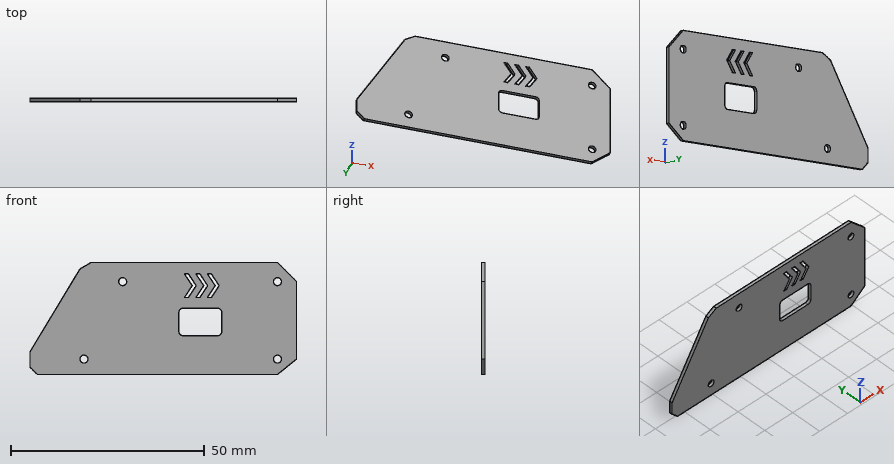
import cadquery as cq

length = 69.0
height = 29.0
thickness = 1.0

right_cut = 5.0
lower_right_rise = 4.0
lower_left_cut = 1.9
left_edge_top = 5.85
slope_top_x = 13.0
slope_top_z = 27.3
top_edge_start = 15.8

hole_diameter = 2.0
right_hole_x = length - right_cut
upper_hole_z = height - right_cut
lower_hole_z = lower_right_rise
upper_hole_spacing = 40.0
lower_hole_spacing = 50.0

window_width = 11.05
window_height = 7.05
window_center_x = 44.1
window_center_z = 13.6
window_radius = 1.05

chevron_count = 3
chevron_pitch = 3.0
chevron_start_x = 40.0
chevron_center_z = 23.0
chevron_height = 6.1
chevron_reach = 2.0
chevron_width = 1.0


def front_sketch():
    """Start a sketch on the front face, whose normal is -Y."""
    return cq.Workplane("XZ")


def make_plate():
    outline = [
        (lower_left_cut, 0),
        (length - right_cut, 0),
        (length, lower_right_rise),
        (length, height - right_cut),
        (length - right_cut, height),
        (top_edge_start, height),
        (slope_top_x, slope_top_z),
        (0, left_edge_top),
        (0, lower_left_cut),
    ]
    return front_sketch().polyline(outline).close().extrude(-thickness)


def make_holes():
    centers = [
        (right_hole_x, lower_hole_z),
        (right_hole_x, upper_hole_z),
        (right_hole_x - upper_hole_spacing, upper_hole_z),
        (right_hole_x - lower_hole_spacing, lower_hole_z),
    ]
    return front_sketch().pushPoints(centers).circle(hole_diameter / 2).extrude(-thickness)


def make_window():
    return (
        front_sketch()
        .center(window_center_x, window_center_z)
        .rect(window_width, window_height)
        .extrude(-thickness)
        .edges("|Y")
        .fillet(window_radius)
    )


def make_chevron(left_x):
    top_z = chevron_center_z + chevron_height / 2
    bottom_z = chevron_center_z - chevron_height / 2
    inner_tip_x = left_x + chevron_reach
    outline = [
        (left_x, top_z),
        (left_x + chevron_width, top_z),
        (inner_tip_x + chevron_width, chevron_center_z),
        (left_x + chevron_width, bottom_z),
        (left_x, bottom_z),
        (inner_tip_x, chevron_center_z),
    ]
    return front_sketch().polyline(outline).close().extrude(-thickness)


result = make_plate().cut(make_holes()).cut(make_window())
for index in range(chevron_count):
    result = result.cut(make_chevron(chevron_start_x + index * chevron_pitch))